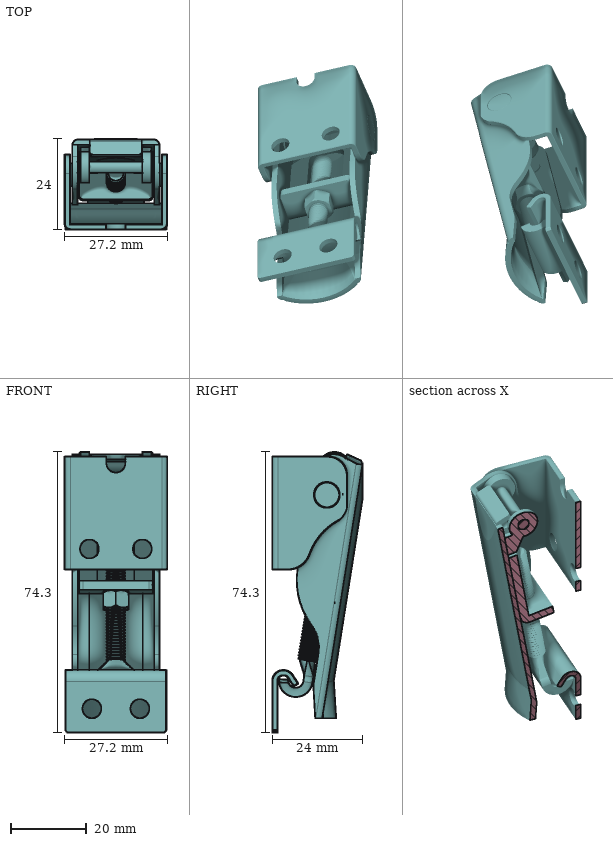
import cadquery as cq
import math


SHEET = 1.5
EDGE_BREAK = 0.15

PIN_Y = 16.5
PIN_Z = 70.19
PIN_RADIUS = 1.5
LEVER_TILT = 9.0

BRACKET_WIDTH = 27.2
BRACKET_HEIGHT = 30.0
BRACKET_BOTTOM = 43.1
BRACKET_TOP = BRACKET_BOTTOM + BRACKET_HEIGHT
BRACKET_DEPTH = 19.9
BRACKET_CORNER = 5.0
FOOT_RADIUS = 6.0
FOOT_Y = 4.3
HOLE_RADIUS = 2.5
BRACKET_HOLE_X = 7.0
BRACKET_HOLE_Z = BRACKET_BOTTOM + 5.5
NOTCH_RADIUS = 2.5
NOTCH_DEPTH = 4.3

RIVET_Y = 14.5
RIVET_Z = 62.9
RIVET_HEAD_RADIUS = 3.45
RIVET_COLLAR_RADIUS = 3.1
RIVET_SHANK_RADIUS = 2.25
RIVET_PROUD = 0.4
RIVET_CHAMFER = 0.2

STRIKE_WIDTH = 26.8
STRIKE_BEND_RADIUS = 3.0
STRIKE_BEND_Z = 13.6
STRIKE_BEND_ANGLE = 147.0
STRIKE_LIP = 2.7
STRIKE_HOLE_X = 6.35
STRIKE_HOLE_Z = 6.35
STRIKE_CHAMFER = 0.6

LEVER_WIDTH = 23.2
LEVER_INNER = LEVER_WIDTH - 2 * SHEET
LEVER_BACK = 7.2
LEVER_BEND = 1.75
LEVER_FRONT = -5.45
LEVER_HEAD_RADIUS = 5.6
LEVER_HEAD_Y = LEVER_FRONT + LEVER_HEAD_RADIUS
LEVER_HEAD_Z = -2.15
LEVER_HEAD_SLOPE = 24.0
LEVER_TOP = 1.85
LEVER_BOTTOM = -68.0
LEVER_TIP_Z = 3.75
BACK_FLOOR = LEVER_BACK - SHEET

CROWN_HALF = 7.1
CROWN_RISE = 1.5
CROWN_RAMP_TOP = 2.2
CROWN_RAMP_BOTTOM = -7.0
FLARE_START = -55.7
FLARE_RADIUS = 16.5
FLARE_ANGLE = 12.6
FLARE_REACH = 13.0

LIP_WIDTH = 13.8
LIP_LENGTH = 4.6
LIP_SLOPE = 15.5
LIP_ROOT_Z = 2.75
LIP_CORNER = 0.8
LIP_FOLD = 0.8

CARRIER_SHEET = 2.4
CARRIER_WIDTH = 19.4
CARRIER_TOP = 0.0
PANEL_FRONT = BACK_FLOOR - CARRIER_SHEET
SHELF_TOP = -30.9
SHELF_BOTTOM = SHELF_TOP - CARRIER_SHEET
SHELF_FRONT = -3.65
SHELF_CORNER = 1.0
EAR_RADIUS = 4.1
EAR_INNER = 7.0
EAR_CHAMFER = 0.35
EAR_ROOT_TOP = -2.0
EAR_ROOT_BOTTOM = -8.2
SHOULDER_Z = -10.2
SLOT_RADIUS = 4.9
SLOT_TOP = -5.5

BOLT_Y = 0.9
BOLT_RADIUS = 2.5
THREAD_ROOT = 2.1
THREAD_PITCH = 0.8
BOLT_TOP = -15.7
BOLT_TIP_CHAMFER = 0.5
THREAD_BOTTOM = -51.6
HOOK_WIDTH = 15.0
SPREAD_WIDTH = 12.4
HOOK_THICKNESS = 2.5
HOOK_BEND = 3.25
NECK_Y = 1.96
NECK_TOP = -55.6
HOOK_Z = -57.2
NECK_BULGE = (7.15, -56.4)
HOOK_SWEEP = 175.0
HOOK_CHAMFER = 0.9
NUT_FLATS = 6.8
NUT_HEIGHT = 4.5
NUT_CHAMFER = 0.45


def place(body):
    """Move a body from the lever frame to its place in the latch."""
    return body.rotate((0, 0, 0), (1, 0, 0), -LEVER_TILT).translate((0, PIN_Y, PIN_Z))


def box(width, y_start, y_end, z_start, z_end):
    """A block centred on X between two Y and two Z limits."""
    size_y = y_end - y_start
    size_z = z_end - z_start
    centre = (0, (y_start + y_end) / 2, (z_start + z_end) / 2)
    return cq.Workplane("XY").box(width, size_y, size_z).translate(centre)


def rod(radius, x_start, x_end, y, z):
    """A cylinder along X."""
    return cq.Workplane("YZ", origin=(x_start, 0, 0)).center(y, z).circle(radius).extrude(x_end - x_start)


def on_circle(y, z, radius, angle):
    """Point at an angle on a circle in the YZ plane."""
    turn = math.radians(angle)
    return (y + radius * math.cos(turn), z + radius * math.sin(turn))


def mounting_holes(x, z):
    """Two screw holes through the mounting face."""
    holes = cq.Workplane("XZ").pushPoints([(-x, z), (x, z)]).circle(HOLE_RADIUS)
    return holes.extrude(SHEET, both=True)


def bracket_body():
    wall_bend_start = (BRACKET_DEPTH, 60.0)
    wall_bend_mid = (19.1, 57.7)
    wall_bend_end = (17.6, 56.1)
    sweep_mid = (13.3, 52.7)
    foot_centre_z = BRACKET_BOTTOM + FOOT_RADIUS
    body = (
        cq.Workplane("YZ")
        .moveTo(0, BRACKET_BOTTOM)
        .lineTo(0, BRACKET_TOP)
        .lineTo(BRACKET_DEPTH - BRACKET_CORNER, BRACKET_TOP)
        .tangentArcPoint((BRACKET_DEPTH, BRACKET_TOP - BRACKET_CORNER), relative=False)
        .lineTo(*wall_bend_start)
        .threePointArc(wall_bend_mid, wall_bend_end)
        .threePointArc(sweep_mid, on_circle(FOOT_Y, foot_centre_z, FOOT_RADIUS, -18))
        .threePointArc(
            on_circle(FOOT_Y, foot_centre_z, FOOT_RADIUS, -54),
            (FOOT_Y, BRACKET_BOTTOM),
        )
        .close()
        .extrude(BRACKET_WIDTH / 2, both=True)
    )
    body = body.edges("|Z and <Y").fillet(SHEET)
    inner_width = BRACKET_WIDTH - 2 * SHEET
    body = body.cut(box(inner_width, SHEET, BRACKET_DEPTH + 1, BRACKET_BOTTOM - 1, BRACKET_TOP + 1))
    notch_centre_z = BRACKET_TOP - NOTCH_DEPTH + NOTCH_RADIUS
    notch = cq.Workplane("XZ").center(0, notch_centre_z).circle(NOTCH_RADIUS).extrude(SHEET, both=True)
    notch = notch.union(box(2 * NOTCH_RADIUS, -SHEET, SHEET, notch_centre_z, BRACKET_TOP + 1))
    rivet_holes = rod(RIVET_HEAD_RADIUS, -BRACKET_WIDTH, BRACKET_WIDTH, RIVET_Y, RIVET_Z)
    body = body.cut(notch).cut(rivet_holes).cut(mounting_holes(BRACKET_HOLE_X, BRACKET_HOLE_Z))
    return body.faces("<Z or >Z").edges("not(|Z)").chamfer(EDGE_BREAK)


def rivet_body(side):
    outer = BRACKET_WIDTH / 2
    collar_outer = outer - SHEET
    collar_inner = LEVER_WIDTH / 2
    tip = collar_inner - SHEET - RIVET_PROUD
    head = rod(RIVET_HEAD_RADIUS, collar_outer, outer, RIVET_Y, RIVET_Z).faces(">X").chamfer(RIVET_CHAMFER)
    body = (
        head.union(rod(RIVET_COLLAR_RADIUS, collar_inner, collar_outer, RIVET_Y, RIVET_Z))
        .union(rod(RIVET_SHANK_RADIUS, tip, collar_inner, RIVET_Y, RIVET_Z))
    )
    return body if side > 0 else body.mirror("YZ")


def strike_body():
    centre = (STRIKE_BEND_RADIUS, STRIKE_BEND_Z)
    inner_radius = STRIKE_BEND_RADIUS - SHEET
    end_angle = 180 - STRIKE_BEND_ANGLE
    mid_angle = 180 - STRIKE_BEND_ANGLE / 2
    outer_end = on_circle(*centre, STRIKE_BEND_RADIUS, end_angle)
    inner_end = on_circle(*centre, inner_radius, end_angle)
    body = (
        cq.Workplane("YZ")
        .moveTo(0, 0)
        .lineTo(0, STRIKE_BEND_Z)
        .threePointArc(on_circle(*centre, STRIKE_BEND_RADIUS, mid_angle), outer_end)
        .lineTo(*on_circle(*outer_end, STRIKE_LIP, end_angle - 90))
        .lineTo(*on_circle(*inner_end, STRIKE_LIP, end_angle - 90))
        .lineTo(*inner_end)
        .threePointArc(on_circle(*centre, inner_radius, mid_angle), (SHEET, STRIKE_BEND_Z))
        .lineTo(SHEET, 0)
        .close()
        .extrude(STRIKE_WIDTH / 2, both=True)
    )
    body = body.faces("<Z").edges("|Y").chamfer(STRIKE_CHAMFER)
    body = body.faces("<X or >X").edges().chamfer(EDGE_BREAK)
    return body.cut(mounting_holes(STRIKE_HOLE_X, STRIKE_HOLE_Z))


def lever_side_outline():
    """Side outline of the lever in its own frame, back edge straight."""
    head = (LEVER_HEAD_Y, LEVER_HEAD_Z, LEVER_HEAD_RADIUS)
    shoulder_start_z = -27.9
    inflection = (0.6, -42.3)
    rail = (3.5, -49.5)
    rail_end_z = -57.9
    return (
        cq.Workplane("YZ")
        .moveTo(LEVER_BACK, LEVER_TOP)
        .lineTo(BACK_FLOOR, LEVER_TOP)
        .lineTo(*on_circle(*head, 90 - LEVER_HEAD_SLOPE))
        .threePointArc(on_circle(*head, 120), (LEVER_FRONT, LEVER_HEAD_Z))
        .lineTo(LEVER_FRONT, shoulder_start_z)
        .tangentArcPoint(inflection, relative=False)
        .tangentArcPoint(rail, relative=False)
        .lineTo(rail[0], rail_end_z)
        .lineTo(BACK_FLOOR, LEVER_BOTTOM)
        .lineTo(LEVER_BACK, LEVER_BOTTOM)
        .close()
    )


def crown(back):
    """Raised stretch along the lever, for a back face at the given Y, fading out in a ramp at its top."""
    section = (
        cq.Workplane("XY", origin=(0, 0, LEVER_BOTTOM))
        .moveTo(-CROWN_HALF, back - SHEET)
        .lineTo(-CROWN_HALF, back)
        .threePointArc((0, back + CROWN_RISE), (CROWN_HALF, back))
        .lineTo(CROWN_HALF, back - SHEET)
        .close()
        .extrude(CROWN_RAMP_TOP - LEVER_BOTTOM)
    )
    ramp = (
        cq.Workplane("YZ")
        .polyline([
            (back, CROWN_RAMP_TOP),
            (back + CROWN_RISE, CROWN_RAMP_BOTTOM),
            (back + CROWN_RISE, LEVER_BOTTOM),
            (back - SHEET, LEVER_BOTTOM),
            (back - SHEET, LEVER_TOP),
            (back, LEVER_TOP),
        ])
        .close()
        .extrude(CROWN_HALF, both=True)
    )
    return section.intersect(ramp)


def flare(radius, floor):
    """Flared tip: a tilted cylinder, kept only behind the given Y."""
    turn = math.radians(FLARE_ANGLE)
    axis_y = LEVER_BACK + CROWN_RISE - FLARE_RADIUS * math.cos(turn)
    axis_z = FLARE_START - FLARE_RADIUS * math.sin(turn)
    plane = cq.Plane(
        origin=(0, axis_y, axis_z),
        xDir=(1, 0, 0),
        normal=(0, math.sin(turn), -math.cos(turn)),
    )
    cylinder = cq.Workplane(plane).circle(radius).extrude(FLARE_REACH, both=True)
    return cylinder.intersect(box(LEVER_INNER, floor, FLARE_REACH, LEVER_BOTTOM, FLARE_START))


def lever_lip():
    """Tab folded over the top of the lever, with rounded free corners."""
    tab = box(LIP_WIDTH, -LIP_LENGTH, 0, -SHEET, 0).edges("|Z and <Y").fillet(LIP_CORNER)
    tab = tab.edges("|X and >Y and >Z").fillet(LIP_FOLD)
    tab = tab.rotate((0, 0, 0), (1, 0, 0), -LIP_SLOPE).translate((0, LEVER_BACK, LIP_ROOT_Z))
    root = box(LIP_WIDTH, BACK_FLOOR, LEVER_BACK, 0, LIP_ROOT_Z - SHEET / 2)
    return tab.union(root)


def lever_body():
    body = lever_side_outline().extrude(LEVER_WIDTH / 2, both=True)
    body = body.edges("|Z and >Y").fillet(LEVER_BEND)
    body = body.union(crown(LEVER_BACK)).union(flare(FLARE_RADIUS, BACK_FLOOR))
    channel = box(LEVER_INNER, 2 * LEVER_FRONT, BACK_FLOOR, LEVER_BOTTOM - 1, LEVER_HEAD_RADIUS)
    body = body.cut(channel).cut(crown(BACK_FLOOR)).cut(flare(FLARE_RADIUS - SHEET, BACK_FLOOR - SHEET))
    body = body.union(lever_lip())
    body = body.cut(rod(PIN_RADIUS, -LEVER_WIDTH, LEVER_WIDTH, 0, 0))
    body = place(body).cut(rod(RIVET_SHANK_RADIUS, -LEVER_WIDTH, LEVER_WIDTH, RIVET_Y, RIVET_Z))
    return body.cut(box(LEVER_WIDTH, 0, BRACKET_DEPTH, 0, LEVER_TIP_Z))


def carrier_ear():
    """Ear on the +X side: a round end on the pin, webbed back to the panel."""
    thickness = CARRIER_WIDTH / 2 - EAR_INNER
    disc = rod(EAR_RADIUS, EAR_INNER, CARRIER_WIDTH / 2, 0, 0).faces(">X").chamfer(EAR_CHAMFER)
    web = (
        cq.Workplane("YZ", origin=(EAR_INNER, 0, 0))
        .polyline([
            on_circle(0, 0, EAR_RADIUS, -80),
            (PANEL_FRONT, EAR_ROOT_BOTTOM),
            (BACK_FLOOR, EAR_ROOT_BOTTOM),
            (BACK_FLOOR, EAR_ROOT_TOP),
            (0, EAR_ROOT_TOP),
        ])
        .close()
        .extrude(thickness - EAR_CHAMFER)
    )
    return disc.union(web)


def carrier_body():
    half_width = CARRIER_WIDTH / 2
    panel = (
        cq.Workplane("XZ", origin=(0, BACK_FLOOR, 0))
        .polyline([
            (-half_width, SHELF_BOTTOM),
            (half_width, SHELF_BOTTOM),
            (half_width, SHOULDER_Z),
            (EAR_INNER, EAR_ROOT_BOTTOM),
            (EAR_INNER, CARRIER_TOP),
            (-EAR_INNER, CARRIER_TOP),
            (-EAR_INNER, EAR_ROOT_BOTTOM),
            (-half_width, SHOULDER_Z),
        ])
        .close()
        .extrude(CARRIER_SHEET)
    )
    shelf = box(CARRIER_WIDTH, SHELF_FRONT, BACK_FLOOR, SHELF_BOTTOM, SHELF_TOP)
    shelf = shelf.edges("|Z and <Y").fillet(SHELF_CORNER)
    body = panel.union(shelf).edges("|X and >Y and <Z").fillet(CARRIER_SHEET)
    ear = carrier_ear()
    body = body.union(ear).union(ear.mirror("YZ"))
    slot_centre_z = SLOT_TOP - SLOT_RADIUS
    slot = (
        cq.Workplane("XZ", origin=(0, BACK_FLOOR, 0))
        .moveTo(-SLOT_RADIUS, SHELF_TOP)
        .lineTo(-SLOT_RADIUS, slot_centre_z)
        .threePointArc((0, SLOT_TOP), (SLOT_RADIUS, slot_centre_z))
        .lineTo(SLOT_RADIUS, SHELF_TOP)
        .close()
        .extrude(CARRIER_SHEET)
    )
    bolt_hole = cq.Workplane("XY").center(0, BOLT_Y).circle(BOLT_RADIUS).extrude(SHELF_BOTTOM)
    pin_hole = rod(PIN_RADIUS, -CARRIER_WIDTH, CARRIER_WIDTH, 0, 0)
    return place(body.cut(slot).cut(bolt_hole).cut(pin_hole))


def pin_body():
    return place(rod(PIN_RADIUS, -LEVER_WIDTH / 2, LEVER_WIDTH / 2, 0, 0))


def threaded_shank():
    """Shank turned from one profile, with a V groove per thread pitch."""
    crest_top = BOLT_TOP - BOLT_TIP_CHAMFER
    groove_count = int((crest_top - THREAD_BOTTOM) / THREAD_PITCH)
    profile = (
        cq.Workplane("XZ")
        .moveTo(0, BOLT_TOP)
        .lineTo(BOLT_RADIUS - BOLT_TIP_CHAMFER, BOLT_TOP)
        .lineTo(BOLT_RADIUS, crest_top)
    )
    for groove in range(groove_count):
        crest_z = crest_top - groove * THREAD_PITCH
        profile = profile.lineTo(THREAD_ROOT, crest_z - THREAD_PITCH / 2)
        profile = profile.lineTo(BOLT_RADIUS, crest_z - THREAD_PITCH)
    profile = profile.lineTo(THREAD_ROOT, THREAD_BOTTOM).lineTo(0, THREAD_BOTTOM).close()
    return profile.revolve(360, (0, 0, 0), (0, 1, 0)).translate((0, BOLT_Y, 0))


def bolt_body():
    spread = (
        cq.Workplane("XY", origin=(0, 0, THREAD_BOTTOM))
        .center(0, BOLT_Y)
        .circle(THREAD_ROOT)
        .workplane(offset=NECK_TOP - THREAD_BOTTOM)
        .center(0, NECK_Y - BOLT_Y)
        .rect(SPREAD_WIDTH, HOOK_THICKNESS)
        .loft(ruled=True)
    )
    neck = (
        cq.Workplane("XZ", origin=(0, NECK_Y, 0))
        .moveTo(-SPREAD_WIDTH / 2, NECK_TOP)
        .lineTo(SPREAD_WIDTH / 2, NECK_TOP)
        .threePointArc(NECK_BULGE, (HOOK_WIDTH / 2, HOOK_Z))
        .lineTo(-HOOK_WIDTH / 2, HOOK_Z)
        .threePointArc((-NECK_BULGE[0], NECK_BULGE[1]), (-SPREAD_WIDTH / 2, NECK_TOP))
        .close()
        .extrude(HOOK_THICKNESS / 2, both=True)
    )
    hook_axis_y = NECK_Y - HOOK_BEND
    hook = (
        cq.Workplane("XY", origin=(0, NECK_Y, HOOK_Z))
        .rect(HOOK_WIDTH, HOOK_THICKNESS)
        .revolve(HOOK_SWEEP, (0, hook_axis_y - NECK_Y, 0), (-1, hook_axis_y - NECK_Y, 0))
    )
    end_y, end_z = on_circle(hook_axis_y, HOOK_Z, HOOK_BEND, -HOOK_SWEEP)
    for side in (-1, 1):
        corner = cq.NearestToPointSelector((side * HOOK_WIDTH / 2, end_y, end_z))
        hook = hook.edges(corner).chamfer(HOOK_CHAMFER)
    body = threaded_shank().union(spread).union(neck).union(hook)
    return place(body)


def nut_body():
    corner_radius = NUT_FLATS / math.sqrt(3)
    nut_bottom = SHELF_BOTTOM - NUT_HEIGHT
    hexagon = cq.Workplane("XY", origin=(0, 0, nut_bottom)).polygon(6, 2 * corner_radius).extrude(NUT_HEIGHT)
    hexagon = hexagon.rotate((0, 0, 0), (0, 0, 1), 90)
    turned = cq.Workplane("XY", origin=(0, 0, nut_bottom)).circle(corner_radius).extrude(NUT_HEIGHT)
    turned = turned.faces("<Z or >Z").edges().chamfer(NUT_CHAMFER)
    body = hexagon.intersect(turned).translate((0, BOLT_Y, 0))
    bore = cq.Workplane("XY").center(0, BOLT_Y).circle(BOLT_RADIUS).extrude(nut_bottom)
    return place(body.cut(bore))


rivets = [rivet_body(side) for side in (-1, 1)]
bracket = bracket_body()
lever = lever_body()
strike = strike_body()
carrier = carrier_body()
pin = pin_body()
bolt = bolt_body()
nut = nut_body()

result = cq.Compound.makeCompound([
    bracket.val(),
    lever.val(),
    strike.val(),
    carrier.val(),
    pin.val(),
    bolt.val(),
    nut.val(),
    *[rivet.val() for rivet in rivets],
])